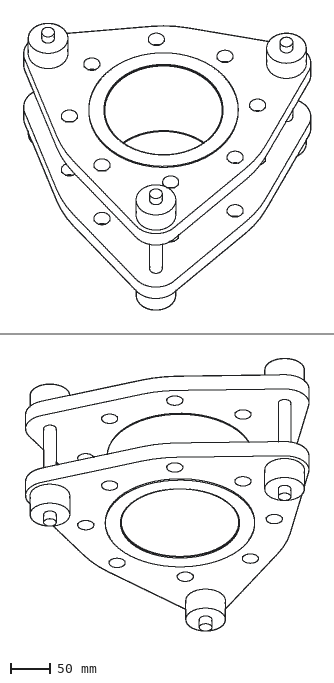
import cadquery as cq
import math

bolt_circle_radius = 175.0
corner_radius = 31.0
hub_radius = 142.3
plate_thickness = 22.3
plate_outer_height = 63.3
lug_count = 3
first_lug_angle = 90

flange_hole_count = 8
flange_hole_circle_radius = 120.0
flange_hole_diameter = 20.5

rod_diameter = 16.0
rod_length = 210.0
nut_diameter = 50.5
nut_height = 29.5

barrel_radius = 93.0
sealing_face_radius = 95.0
sealing_face_height = 2.2
neck_radius = 92.0
neck_height = 2.2
bore_radius = 74.5
mouth_radius = 75.7
mouth_depth = 2.0

plate_inner_height = plate_outer_height - plate_thickness
barrel_half_length = plate_inner_height - neck_height
sleeve_half_length = plate_outer_height + sealing_face_height


def polar(radius, angle, center=(0, 0)):
    """Point at a radius and an angle in degrees from a center."""
    turn = math.radians(angle)
    return (center[0] + radius * math.cos(turn), center[1] + radius * math.sin(turn))


lug_angles = [first_lug_angle + i * 360 / lug_count for i in range(lug_count)]
lug_centers = [polar(bolt_circle_radius, angle) for angle in lug_angles]


def disc(radius, bottom, top, centers=((0, 0),)):
    """Round discs between two heights."""
    plane = cq.Workplane("XY").workplane(offset=bottom)
    return plane.pushPoints(centers).circle(radius).extrude(top - bottom)


def flange_plate():
    """Upper plate: three round lugs joined by tangent lines to the arcs of a central hub."""
    tangent_angle = math.degrees(math.acos((hub_radius - corner_radius) / bolt_circle_radius))
    half_pitch = 180 / lug_count

    outline = cq.Workplane("XY").workplane(offset=plate_inner_height)
    outline = outline.moveTo(*polar(corner_radius, lug_angles[0] - tangent_angle, lug_centers[0]))
    for angle, center in zip(lug_angles, lug_centers):
        next_angle = angle + 2 * half_pitch
        next_center = polar(bolt_circle_radius, next_angle)
        outline = (
            outline
            .threePointArc(
                polar(corner_radius, angle, center),
                polar(corner_radius, angle + tangent_angle, center),
            )
            .lineTo(*polar(hub_radius, angle + tangent_angle))
            .threePointArc(
                polar(hub_radius, angle + half_pitch),
                polar(hub_radius, next_angle - tangent_angle),
            )
            .lineTo(*polar(corner_radius, next_angle - tangent_angle, next_center))
        )
    plate = outline.close().extrude(plate_thickness)

    half_hole_pitch = 180 / flange_hole_count
    hole_centers = [
        polar(flange_hole_circle_radius, half_hole_pitch * (2 * i + 1))
        for i in range(flange_hole_count)
    ]
    holes = disc(flange_hole_diameter / 2, plate_inner_height, plate_outer_height, hole_centers)
    return plate.cut(holes)


def upper_end():
    """Everything repeated at each end: plate, nuts, sealing face and tapered neck."""
    nuts = disc(nut_diameter / 2, plate_outer_height, plate_outer_height + nut_height, lug_centers)
    sealing_face = disc(sealing_face_radius, plate_outer_height, sleeve_half_length)
    neck = (
        cq.Workplane("XY").workplane(offset=barrel_half_length).circle(barrel_radius)
        .workplane(offset=neck_height).circle(neck_radius).loft()
    )
    return flange_plate().union(nuts).union(sealing_face).union(neck)


def bore():
    """Cutter for the through bore with a slightly wider mouth at each end."""
    mouth = disc(mouth_radius, sleeve_half_length - mouth_depth, sleeve_half_length)
    through = disc(bore_radius, -sleeve_half_length, sleeve_half_length)
    return through.union(mouth).union(mouth.mirror("XY"))


barrel = disc(barrel_radius, -barrel_half_length, barrel_half_length)
rods = disc(rod_diameter / 2, -rod_length / 2, rod_length / 2, lug_centers)
end = upper_end()

result = barrel.union(end).union(end.mirror("XY")).union(rods).cut(bore())